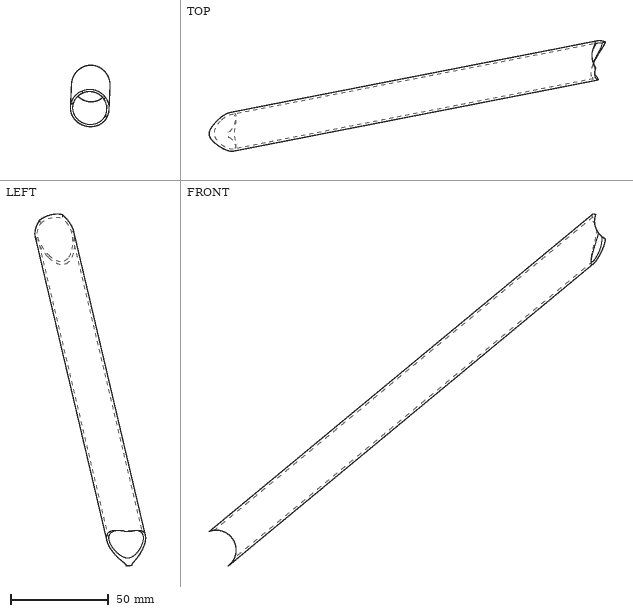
import cadquery as cq

outer_radius = 10.0
wall = 1.2
run_x = 204.1
run_y = 39.8
run_z = 169.0

cope_radius = 10.2
lower_cope_rise = 0.5
neighbour_radius = 11.5
cutter_length = 162.6

lower_node = cq.Vector(0, 0, 0)
upper_node = cq.Vector(run_x, run_y, run_z)
tube_axis = upper_node - lower_node
cross_direction = cq.Vector(0, 1, 0)
neighbour_direction = cq.Vector(0.02, 0.38, 0.92)


def make_rod(start, direction, length, radius):
    """Solid cylinder starting at a point and following a direction."""
    return cq.Workplane(cq.Solid.makeCylinder(radius, length, start, direction))


def make_cope(centre, direction, radius):
    """Long cylinder centred on a point, used to cut a saddle."""
    start = centre - direction.normalized() * (cutter_length / 2)
    return make_rod(start, direction, cutter_length, radius)


tube = make_rod(lower_node, tube_axis, tube_axis.Length, outer_radius)
tube = tube.cut(make_rod(lower_node, tube_axis, tube_axis.Length, outer_radius - wall))

lower_cope_centre = lower_node + cq.Vector(0, 0, lower_cope_rise)
tube = tube.cut(make_cope(lower_cope_centre, cross_direction, cope_radius))

tube = tube.cut(make_cope(upper_node, cross_direction, cope_radius))
tube = tube.cut(make_cope(upper_node, neighbour_direction, neighbour_radius))

result = cq.Workplane(max(tube.solids().vals(), key=lambda piece: piece.Volume()))